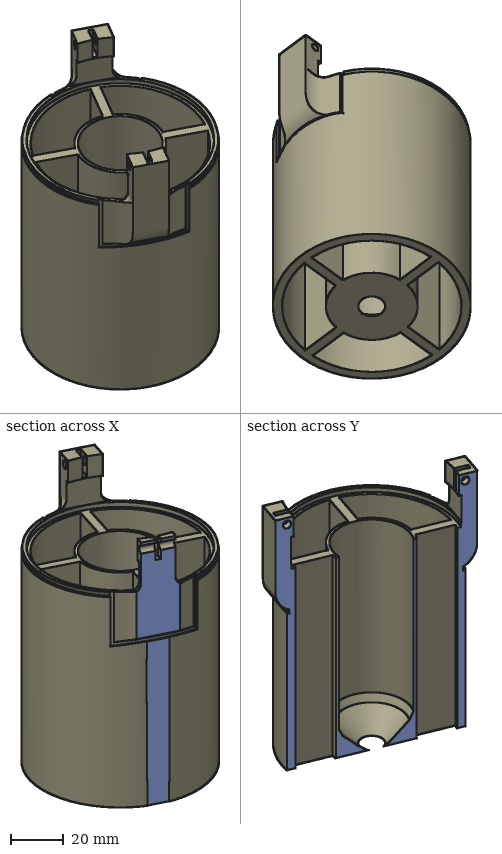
import cadquery as cq
import math

total_height = 113.4
body_radius = 74.8 / 2
bore_radius = 67.8 / 2
ledge_height = 90.0
rim_height = 92.0
rim_inner_radius = 70.9 / 2
rim_base_radius = 72.8 / 2
rim_top_radius = 37.1

hub_radius = 17.3
hub_bore_radius = 32.0 / 2
funnel_hole_radius = 5.1
funnel_mouth_radius = 14.3
funnel_height = funnel_mouth_radius - funnel_hole_radius
funnel_lead_in_height = 3.4
spoke_thickness = 4.0

arm_reach = 42.1
arm_half_width = 7.1
arm_bottom_radius = 10.2
head_height = 9.3
head_inner_radius = 34.6
flare_radius = 8.5
top_fillet_radius = 4.0

pin_radius = 3.2 / 2
pin_x = 37.1
pin_below_top = 3.2
slot_width = 1.9
slot_depth = 8.6
slot_end_x = 40.5

recess_half_width = 17.8
recess_floor_height = 70.6
frame_width = 1.5
pad_radius = 36.7
floor_slope = math.radians(20)

inside_x = 22.7


def cylinder(radius, bottom, top):
    return cq.Workplane("XY").workplane(offset=bottom).circle(radius).extrude(top - bottom)


def floor_z(x, lift=0.0):
    """Height of the sloping recess floor, which rises outwards."""
    return recess_floor_height + lift + (x - body_radius) * math.tan(floor_slope)


def recess_block(half_width, lift):
    """Block above the sloping floor, as wide as the recess."""
    profile = [
        (inside_x, floor_z(inside_x, lift)),
        (arm_reach, floor_z(arm_reach, lift)),
        (arm_reach, rim_height),
        (inside_x, rim_height),
    ]
    return cq.Workplane("XZ").polyline(profile).close().extrude(half_width, both=True)


def mirrored_pair(shape):
    return shape.union(shape.mirror("YZ"))


def make_tube():
    """Open tube with a stepped mouth and an undercut conical rim."""
    tube = cylinder(body_radius, 0, ledge_height)
    rim = (
        cq.Workplane("XZ")
        .moveTo(0, ledge_height)
        .lineTo(rim_base_radius, ledge_height)
        .lineTo(rim_top_radius, rim_height)
        .lineTo(0, rim_height)
        .close()
        .revolve(360, (0, 0, 0), (0, 1, 0))
    )
    tube = tube.union(rim)
    tube = tube.cut(cylinder(bore_radius, 0, ledge_height))
    return tube.cut(cylinder(rim_inner_radius, ledge_height, rim_height))


def make_hub():
    """Hub and spokes, with a funnel at the bottom of the hub."""
    spoke_length = bore_radius + rim_inner_radius
    spokes = cq.Workplane("XY")
    for size in ((spoke_length, spoke_thickness), (spoke_thickness, spoke_length)):
        spokes = spokes.union(cq.Workplane("XY").rect(*size).extrude(ledge_height))
    bore = (
        cq.Workplane("XZ")
        .lineTo(funnel_hole_radius, 0)
        .lineTo(funnel_mouth_radius, funnel_height)
        .lineTo(hub_bore_radius, funnel_height + funnel_lead_in_height)
        .lineTo(hub_bore_radius, ledge_height)
        .lineTo(0, ledge_height)
        .close()
        .revolve(360, (0, 0, 0), (0, 1, 0))
    )
    return spokes.union(cylinder(hub_radius, 0, ledge_height)).cut(bore)


def make_recess():
    """Material removed outside the groove surface around one arm."""
    return recess_block(recess_half_width, 0).cut(cylinder(rim_base_radius, 0, rim_height))


def make_pad():
    """Raised wall inside the groove frame, behind one arm."""
    pad = recess_block(recess_half_width - frame_width, frame_width)
    wall = cylinder(pad_radius, 0, rim_height).cut(cylinder(rim_inner_radius, 0, rim_height))
    return pad.intersect(wall)


def arm_plan():
    """Plan of the arm, flaring into the pad with concave arcs; it overruns the outer face."""
    center_y = arm_half_width + flare_radius
    center_x = math.sqrt((pad_radius + flare_radius) ** 2 - center_y**2)
    wall_x = center_x * pad_radius / (pad_radius + flare_radius)
    wall_y = center_y * pad_radius / (pad_radius + flare_radius)
    wall_angle = math.atan2(wall_y - center_y, wall_x - center_x)
    middle_angle = (wall_angle - math.pi / 2) / 2
    middle_x = center_x + flare_radius * math.cos(middle_angle)
    middle_y = center_y + flare_radius * math.sin(middle_angle)
    return (
        cq.Workplane("XY")
        .moveTo(inside_x, -wall_y)
        .lineTo(wall_x, -wall_y)
        .threePointArc((middle_x, -middle_y), (center_x, -arm_half_width))
        .lineTo(center_x, arm_half_width)
        .threePointArc((middle_x, middle_y), (wall_x, wall_y))
        .lineTo(inside_x, wall_y)
        .close()
        .extrude(total_height)
    )


def arm_front_profile():
    """Outline in Y and Z: wide below the rim, filleted up to the narrow arm."""
    foot_y = arm_half_width + top_fillet_radius
    diagonal = top_fillet_radius * math.sqrt(0.5)
    middle = (foot_y - diagonal, rim_height + top_fillet_radius - diagonal)
    arm_edge = (arm_half_width, rim_height + top_fillet_radius)
    return (
        cq.Workplane("YZ")
        .moveTo(-recess_half_width, 0)
        .lineTo(recess_half_width, 0)
        .lineTo(recess_half_width, rim_height)
        .lineTo(foot_y, rim_height)
        .threePointArc(middle, arm_edge)
        .lineTo(arm_half_width, total_height)
        .lineTo(-arm_half_width, total_height)
        .lineTo(-arm_half_width, arm_edge[1])
        .threePointArc((-middle[0], middle[1]), (-foot_y, rim_height))
        .lineTo(-recess_half_width, rim_height)
        .close()
        .extrude(arm_reach)
    )


def arm_side_profile():
    """Outline in X and Z with a sloping underside rounded into the outer face."""
    profile = [
        (inside_x, floor_z(inside_x, frame_width)),
        (arm_reach, floor_z(arm_reach, frame_width)),
        (arm_reach, total_height),
        (inside_x, total_height),
    ]
    block = cq.Workplane("XZ").polyline(profile).close().extrude(recess_half_width, both=True)
    return block.faces(">X").edges("<Z").fillet(arm_bottom_radius)


def make_arm():
    """Arm with a flat inner shank and an overhanging, slotted and drilled head."""
    arm = arm_plan().intersect(arm_front_profile()).intersect(arm_side_profile())
    head_bottom = total_height - head_height
    shank_clearance = cq.Workplane("XY").workplane(offset=rim_height).rect(
        2 * rim_inner_radius, 2 * body_radius
    ).extrude(head_bottom - rim_height)
    arm = arm.cut(cylinder(rim_inner_radius, 0, rim_height))
    arm = arm.cut(shank_clearance)
    arm = arm.cut(cylinder(head_inner_radius, head_bottom, total_height))
    pin_hole = (
        cq.Workplane("XZ")
        .center(pin_x, total_height - pin_below_top)
        .circle(pin_radius)
        .extrude(arm_reach, both=True)
    )
    slot = cq.Workplane("XY").box(
        slot_end_x - inside_x, slot_width, slot_depth, centered=(False, True, False)
    ).translate((inside_x, 0, total_height - slot_depth))
    return arm.cut(pin_hole).cut(slot)


result = make_tube().union(make_hub())
result = result.cut(mirrored_pair(make_recess()))
result = result.union(mirrored_pair(make_pad()))
result = result.union(mirrored_pair(make_arm()))